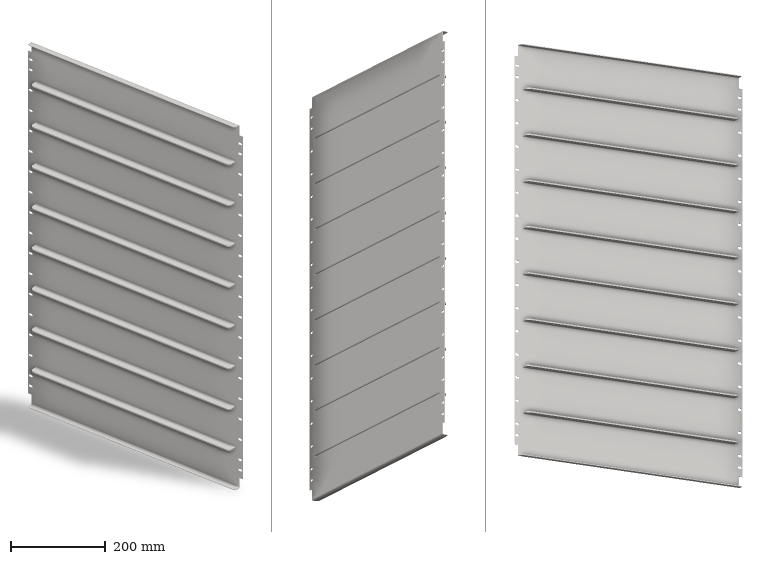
import cadquery as cq
import math


WIDTH = 577.0
HEIGHT = 890.0
PANEL_COUNT = 9
MIDDLE_COUNT = PANEL_COUNT - 2
SEAM_SPAN = 700.0
PITCH = SEAM_SPAN / MIDDLE_COUNT
END_PANEL_HEIGHT = (HEIGHT - SEAM_SPAN) / 2

SHEET = 1.5
INNER_BEND = SHEET
OUTER_BEND = INNER_BEND + SHEET

RIB_DEPTH = 20.0
RIB_INSET = 20.5
RIB_CORNER = 8.0

LIP_DEPTH = 15.0
LIP_INSET = 9.0
LIP_CORNER = 7.0
NOTCH_HEIGHT = 25.0

SLOT_LENGTH = 10.0
SLOT_WIDTH = 5.0
SLOT_INSET = 6.7
SLOT_FROM_SEAM = PITCH / 4
END_SLOT_FROM_SEAM = PITCH / 2


def plate(z_bottom, z_top):
    """Flat sheet with its back face on Y = 0."""
    sheet = cq.Workplane("XY").box(WIDTH, SHEET, z_top - z_bottom, centered=(True, False, False))
    return sheet.translate((0, -SHEET, z_bottom))


def flange(z_edge, inward, depth, length, corner):
    """Bent edge whose outer face lies at z_edge; inward is the Z direction into the panel."""
    z_bend = z_edge + inward * OUTER_BEND
    z_inner = z_edge + inward * SHEET

    def bend_middle(radius):
        offset = radius * math.sqrt(0.5)
        return (-OUTER_BEND + offset, z_bend - inward * offset)

    bent = (
        cq.Workplane("YZ")
        .moveTo(0, z_bend)
        .threePointArc(bend_middle(OUTER_BEND), (-OUTER_BEND, z_edge))
        .lineTo(-depth, z_edge)
        .lineTo(-depth, z_inner)
        .lineTo(-OUTER_BEND, z_inner)
        .threePointArc(bend_middle(INNER_BEND), (-SHEET, z_bend))
        .close()
        .extrude(length / 2, both=True)
    )
    return bent.faces("<Y").edges("|Z").fillet(corner)


def bend_edge(body, z_edge, inward, depth, inset, corner):
    """Replace the straight edge of the plate by a flange."""
    length = WIDTH - 2 * inset
    strip = cq.Workplane("XY").box(length, 2 * SHEET, 2 * OUTER_BEND).translate((0, 0, z_edge))
    return body.cut(strip).union(flange(z_edge, inward, depth, length, corner))


def add_rib_edge(body, z_edge, inward):
    return bend_edge(body, z_edge, inward, RIB_DEPTH, RIB_INSET, RIB_CORNER)


def add_lip_edge(body, z_edge, inward):
    """Lip flange with a rectangular notch in both corners of the plate."""
    for side in (-1, 1):
        notch = cq.Workplane("XY").box(2 * LIP_INSET, 2 * SHEET, 2 * NOTCH_HEIGHT)
        body = body.cut(notch.translate((side * WIDTH / 2, 0, z_edge)))
    return bend_edge(body, z_edge, inward, LIP_DEPTH, LIP_INSET, LIP_CORNER)


def cut_slots(body, heights):
    """Horizontal slots through the plate near both sides, at each of the heights."""
    slot_x = WIDTH / 2 - SLOT_INSET
    centers = [(side * slot_x, z) for side in (-1, 1) for z in heights]
    slots = cq.Workplane("XZ").pushPoints(centers).slot2D(SLOT_LENGTH, SLOT_WIDTH)
    return body.cut(slots.extrude(SHEET, both=True))


def middle_panel(z_bottom):
    z_top = z_bottom + PITCH
    body = plate(z_bottom, z_top)
    body = add_rib_edge(body, z_bottom, 1)
    body = add_rib_edge(body, z_top, -1)
    return cut_slots(body, [z_bottom + SLOT_FROM_SEAM, z_top - SLOT_FROM_SEAM])


def end_panel(end):
    """Panel at the top (end = 1) or the bottom (end = -1) of the stack."""
    z_lip = end * HEIGHT / 2
    z_seam = z_lip - end * END_PANEL_HEIGHT
    body = plate(min(z_lip, z_seam), max(z_lip, z_seam))
    body = add_rib_edge(body, z_seam, end)
    body = add_lip_edge(body, z_lip, -end)
    return cut_slots(body, [z_seam + end * SLOT_FROM_SEAM, z_seam + end * END_SLOT_FROM_SEAM])


middle_panels = [middle_panel(-SEAM_SPAN / 2 + i * PITCH) for i in range(MIDDLE_COUNT)]
end_panels = [end_panel(end) for end in (-1, 1)]

result = cq.Compound.makeCompound([panel.solids().val() for panel in end_panels + middle_panels])